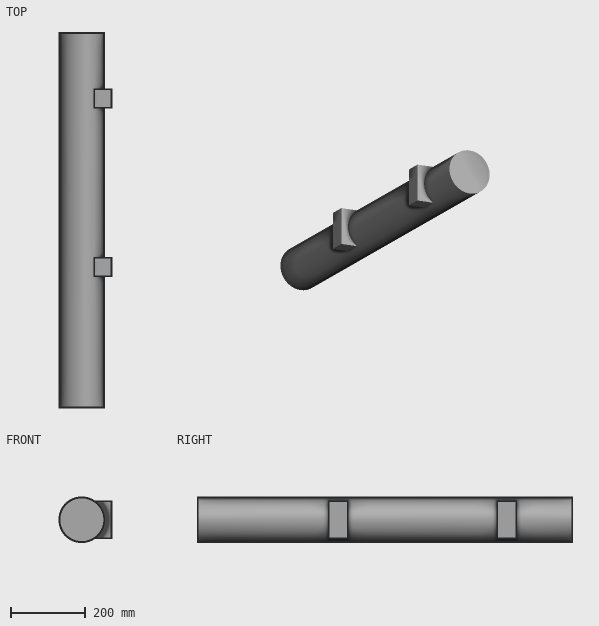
import cadquery as cq

bar_length = 1000.0
bar_diameter = 120.0
bar_radius = bar_diameter / 2

overall_width = 140.0
block_length = 50.0
block_height = 100.0
block_outer_x = overall_width - bar_radius
first_block_y = 375.0
block_spacing = 450.0


def make_bar():
    """Solid cylinder from Y = 0 to the bar length."""
    return cq.Workplane("XZ").circle(bar_radius).extrude(-bar_length)


def make_block(center_y):
    """Block reaching from the bar axis to the outer mounting face."""
    return (
        cq.Workplane("XY")
        .box(block_outer_x, block_length, block_height, centered=(False, True, True))
        .translate((0, center_y, 0))
    )


result = make_bar()
for block_index in range(2):
    result = result.union(make_block(first_block_y + block_index * block_spacing))